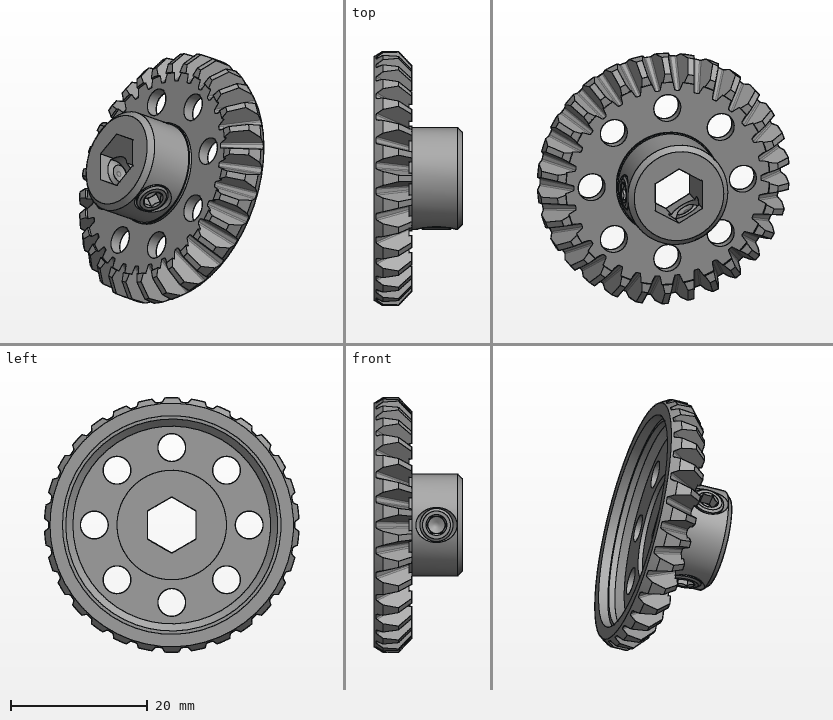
import cadquery as cq
import math


outer_radius = 18.65
back_radius = 17.82
back_chamfer_end = 1.35
face_start = 3.6
tooth_front = 5.55
tooth_front_radius = 16.6
tooth_inner_radius = 15.3
web_front = 5.2

recess_radius = 16.0
recess_depth = 1.4
step_radius = 15.5
step_depth = 2.35
web_radius = 14.45
web_back = 3.43
centre_recess_radius = 8.0
centre_recess_depth = 0.67

hole_count = 8
hole_radius = 2.0
hole_circle_radius = 11.35

hub_radius = 7.5
collar_radius = 7.68
hub_front = 13.0
hub_chamfer = 0.8
hex_across_flats = 7.1

tooth_count = 30
tooth_pitch = 360.0 / tooth_count
gap_start = 0.37
gap_start_radius = 18.0
gap_end_radius = 14.0
gap_start_width = 0.97
gap_end_width = 0.7
gap_fillet = 0.22
flank_slope = 0.33
gap_overrun = 0.55

screw_angles = [0.0, 120.0]
screw_axial_place = 9.17
screw_radius = 2.42
hole_mouth_radius = 3.02
screw_outer_end = 7.45
screw_inner_end = 3.58
head_chamfer_radius = 2.05
head_chamfer_depth = 0.25
point_radius = 1.3
point_depth = 1.1
cup_floor_radius = 0.37
cup_depth = 0.22
socket_across_flats = 2.5
socket_mouth_radius = 1.53
socket_depth = 1.85
socket_cone_depth = 0.55


def spin(points):
    """Solid of revolution about X from (axial position, radius) points."""
    return cq.Workplane("XY").polyline(points).close().revolve(360, (0, 0, 0), (1, 0, 0))


def hexagon_diameter(across_flats):
    return across_flats / math.cos(math.radians(30))


def make_blank():
    """Turned wheel: toothed rim, web, recessed back and hub."""
    return spin([
        (web_back + centre_recess_depth, 0),
        (web_back + centre_recess_depth, centre_recess_radius),
        (web_back, centre_recess_radius),
        (web_back, web_radius),
        (step_depth, step_radius),
        (recess_depth, step_radius),
        (recess_depth, recess_radius),
        (0, recess_radius),
        (0, back_radius),
        (back_chamfer_end, outer_radius),
        (face_start, outer_radius),
        (tooth_front, tooth_front_radius),
        (tooth_front, tooth_inner_radius),
        (web_front, tooth_inner_radius),
        (web_front, collar_radius),
        (tooth_front, collar_radius),
        (tooth_front, hub_radius),
        (hub_front - hub_chamfer, hub_radius),
        (hub_front, hub_radius - hub_chamfer),
        (hub_front, 0),
    ])


def gap_section(x):
    """Corners (x, across, radius) of the tooth gap at axial position x."""
    travel = (x - gap_start) / (web_front - gap_start)
    floor_radius = gap_start_radius + travel * (gap_end_radius - gap_start_radius)
    floor_half = (gap_start_width + travel * (gap_end_width - gap_start_width)) / 2
    top_radius = outer_radius + gap_overrun
    top_half = floor_half + flank_slope * (top_radius - floor_radius)
    return [
        cq.Vector(x, -floor_half, floor_radius),
        cq.Vector(x, floor_half, floor_radius),
        cq.Vector(x, top_half, top_radius),
        cq.Vector(x, -top_half, top_radius),
    ]


def flat_face(corners):
    return cq.Face.makeFromWires(cq.Wire.makePolygon(corners, close=True))


def make_gap_cutter():
    """Flat-sided tapered wedge that cuts one tooth gap, with rounded floor corners."""
    back = gap_section(-gap_overrun)
    front = gap_section(tooth_front + gap_overrun)
    faces = [flat_face(back), flat_face(front)]
    for index in range(len(back)):
        faces.append(flat_face([back[index - 1], back[index], front[index], front[index - 1]]))
    wedge = cq.Solid.makeSolid(cq.Shell.makeShell(faces))
    floor_corners = cq.Workplane(wedge).edges("not(<X or >X)").edges("<Z")
    return floor_corners.fillet(gap_fillet)


def place_screw(shape, angle):
    """Move a shape built along Z at the origin onto a screw axis, Z pointing outwards."""
    return (
        shape.rotate((0, 0, 0), (1, 0, 0), 90 + angle)
        .translate((screw_axial_place, 0, 0))
    )


def make_screw_hole():
    """Radial hole with a 45 degree mouth, from the bore to the hub surface."""
    mouth_depth = hole_mouth_radius - screw_radius
    outside = hub_radius + gap_overrun
    return cq.Workplane("XZ").polyline([
        (0, 0),
        (screw_radius, 0),
        (screw_radius, hub_radius - mouth_depth),
        (hole_mouth_radius + gap_overrun, outside),
        (0, outside),
    ]).close().revolve(360, (0, 0, 0), (0, 1, 0))


def make_wheel():
    wheel = make_blank()

    cutter = make_gap_cutter()
    gaps = [
        cutter.rotate((0, 0, 0), (1, 0, 0), (index + 0.5) * tooth_pitch).val()
        for index in range(tooth_count)
    ]
    wheel = cq.Workplane(wheel.val().cut(*gaps))

    holes = (
        cq.Workplane("YZ")
        .polarArray(hole_circle_radius, 0, 360, hole_count)
        .circle(hole_radius)
        .extrude(tooth_front)
    )
    bore = (
        cq.Workplane("YZ")
        .transformed(rotate=(0, 0, 90))
        .polygon(6, hexagon_diameter(hex_across_flats))
        .extrude(hub_front)
    )
    wheel = wheel.cut(holes).cut(bore)

    screw_hole = make_screw_hole()
    for angle in screw_angles:
        wheel = wheel.cut(place_screw(screw_hole, angle))
    return wheel


def make_set_screw(angle):
    """Headless screw with a hex socket outside and a cup point inside."""
    socket_floor = screw_outer_end - socket_depth
    mouth_drop = socket_mouth_radius - socket_across_flats / 2
    body = cq.Workplane("XZ").polyline([
        (0, screw_inner_end + cup_depth),
        (cup_floor_radius, screw_inner_end + cup_depth),
        (point_radius, screw_inner_end),
        (screw_radius, screw_inner_end + point_depth),
        (screw_radius, screw_outer_end - head_chamfer_depth),
        (head_chamfer_radius, screw_outer_end),
        (socket_mouth_radius, screw_outer_end),
        (socket_across_flats / 2, screw_outer_end - mouth_drop),
        (socket_across_flats / 2, socket_floor),
        (0, socket_floor - socket_cone_depth),
    ]).close().revolve(360, (0, 0, 0), (0, 1, 0))
    socket = (
        cq.Workplane("XY", origin=(0, 0, socket_floor))
        .polygon(6, hexagon_diameter(socket_across_flats))
        .extrude(socket_depth)
    )
    return place_screw(body.cut(socket), angle)


wheel = make_wheel()
set_screws = [make_set_screw(angle) for angle in screw_angles]

result = cq.Compound.makeCompound([wheel.val(), *[screw.val() for screw in set_screws]])